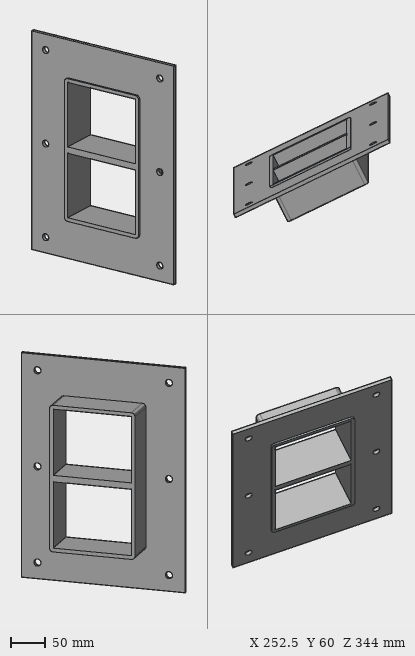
import cadquery as cq

plate_width = 252.5
plate_height = 344.0
plate_thickness = 6.0

frame_width = 132.0
frame_height = 224.5
frame_depth = 60.0
frame_wall = 6.0
frame_corner_radius = 6.0
front_projection = 3.0

divider_height = 10.0
window_width = frame_width - 2 * frame_wall
window_height = (frame_height - 2 * frame_wall - divider_height) / 2
window_offset = (window_height + divider_height) / 2

hole_diameter = 10.5
hole_column_spacing = 203.0
hole_row_spacing = 147.2


def block(width, depth, height, front_y):
    """Box centred in X and Z, running toward +Y from its front face."""
    return cq.Workplane("XY").box(width, depth, height).translate((0, front_y + depth / 2, 0))


def make_plate():
    holes = (
        cq.Workplane("XZ")
        .rarray(hole_column_spacing, hole_row_spacing, 2, 3)
        .circle(hole_diameter / 2)
        .extrude(plate_thickness, both=True)
    )
    return block(plate_width, plate_thickness, plate_height, 0).cut(holes)


def make_frame():
    frame = block(frame_width, frame_depth, frame_height, -front_projection)
    return frame.edges("|Y").fillet(frame_corner_radius)


def cut_windows(body):
    window = block(window_width, frame_depth, window_height, -front_projection)
    for side in (-1, 1):
        body = body.cut(window.translate((0, 0, side * window_offset)))
    return body


result = cut_windows(make_plate().union(make_frame()))